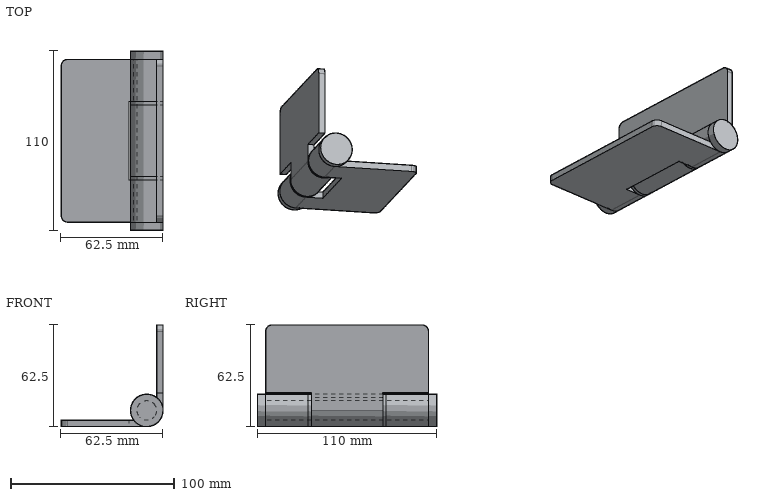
import cadquery as cq

plate_thickness = 4.0
plate_width = 100.0
plate_reach = 52.5
corner_radius = 4.0

knuckle_radius = 10.0
knuckle_clearance = 0.75
middle_knuckle_length = 44.0
washer_thickness = 2.0
head_thickness = 5.0

pin_radius = knuckle_radius - plate_thickness
cutout_reach = knuckle_radius + knuckle_clearance
half_width = plate_width / 2
half_middle = middle_knuckle_length / 2
half_gap = half_middle + washer_thickness


def cylinder(radius, y_start, y_end):
    """Solid cylinder on the hinge axis between two Y positions."""
    return cq.Workplane("XZ", origin=(0, y_start, 0)).circle(radius).extrude(y_start - y_end)


def ring(y_start, y_end):
    """Knuckle-sized tube on the hinge axis, bored for the pin."""
    return cylinder(knuckle_radius, y_start, y_end).cut(cylinder(pin_radius, y_start, y_end))


def make_leaf(knuckle_spans):
    """Flat leaf pointing to -X, tangent to the underside of its knuckles.

    The plate runs in to the hinge axis only along the knuckle spans, given as
    (y_start, y_end) pairs; elsewhere it stops clear of the other leaf's knuckles.
    """
    leaf = (
        cq.Workplane("XY", origin=(0, 0, -knuckle_radius))
        .moveTo(-(plate_reach + cutout_reach) / 2, 0)
        .rect(plate_reach - cutout_reach, plate_width)
        .extrude(plate_thickness)
        .edges("|Z and <X")
        .fillet(corner_radius)
    )
    for y_start, y_end in knuckle_spans:
        tongue = (
            cq.Workplane("XY", origin=(0, 0, -knuckle_radius))
            .moveTo(-cutout_reach / 2, (y_start + y_end) / 2)
            .rect(cutout_reach, y_end - y_start)
            .extrude(plate_thickness)
        )
        leaf = leaf.union(tongue).union(ring(y_start, y_end))
    return leaf


def make_pin():
    """Pin through all knuckles, with a flat head at each end."""
    pin = cylinder(pin_radius, -half_width, half_width)
    for y_start in (-half_width - head_thickness, half_width):
        pin = pin.union(cylinder(knuckle_radius, y_start, y_start + head_thickness))
    return pin


lower_leaf = make_leaf([(-half_width, -half_gap), (half_gap, half_width)])

upper_leaf = make_leaf([(-half_middle, half_middle)]).rotate((0, 0, 0), (0, 1, 0), 90)
upper_leaf = upper_leaf.mirror("YZ")

washers = [ring(y_start, y_start + washer_thickness) for y_start in (-half_gap, half_middle)]

pin = make_pin()

result = cq.Compound.makeCompound([
    lower_leaf.val(),
    upper_leaf.val(),
    *[washer.val() for washer in washers],
    pin.val(),
])